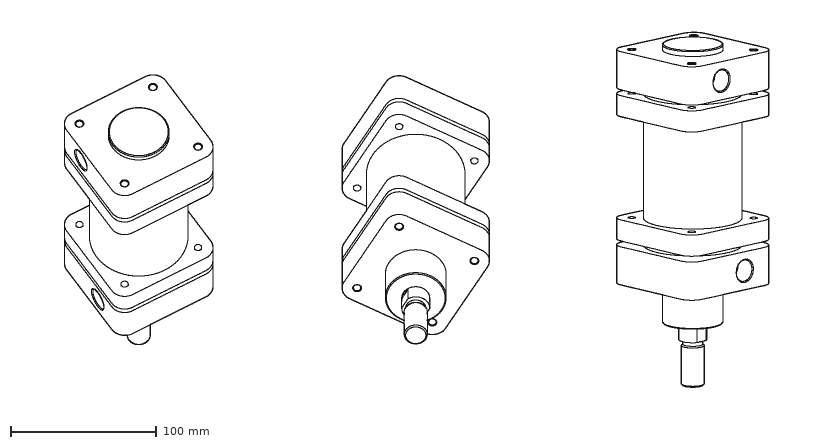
import cadquery as cq

total_height = 241.0
side = 80.0
hole_offset = 29.6
corner_radius = side / 2 - hole_offset

head_height = 27.0
boss_diameter = 42.0
cap_boss_height = 4.0
rod_boss_height = 28.0
boss_chamfer = 0.7
head_hole_diameter = 5.0
head_hole_depth = 19.3
head_hole_chamfer = 0.5

port_offset = 11.0
port_diameter = 15.0
port_chamfer = 0.7
port_depth = 14.5

flange_height = 15.0
flange_gap = 4.0
flange_hole_diameter = 5.0

barrel_diameter = 68.0

rod_diameter = 19.3
shank_length = 12.0
collar_length = 1.0
flat_width = 17.0
neck_diameter = 14.0
neck_length = 3.1
thread_diameter = 16.0
thread_length = 29.0
thread_chamfer = (thread_diameter - neck_diameter) / 2

neck_bottom = thread_length
shank_bottom = neck_bottom + neck_length
rod_boss_bottom = shank_bottom + shank_length
rod_head_bottom = rod_boss_bottom + rod_boss_height
rod_head_top = rod_head_bottom + head_height
cap_head_top = total_height - cap_boss_height
cap_head_bottom = cap_head_top - head_height
rod_flange_bottom = rod_head_top + flange_gap
cap_flange_bottom = cap_head_bottom - flange_gap - flange_height


def cylinder(diameter, bottom, height):
    return cq.Workplane("XY", origin=(0, 0, bottom)).circle(diameter / 2).extrude(height)


def rounded_block(bottom, height):
    block = cq.Workplane("XY", origin=(0, 0, bottom)).rect(side, side).extrude(height)
    return block.edges("|Z").fillet(corner_radius)


def corner_cylinders(diameter, bottom, height):
    spacing = 2 * hole_offset
    corners = cq.Workplane("XY", origin=(0, 0, bottom)).rect(spacing, spacing, forConstruction=True)
    return corners.vertices().circle(diameter / 2).extrude(height)


def port_cutter():
    """Blind port into the -Y face of a head that stands on Z = 0, with a chamfered mouth."""
    center = (-port_offset, -side / 2, head_height / 2)
    bore = cq.Workplane("XZ", origin=center).circle(port_diameter / 2).extrude(-port_depth)
    mouth_radius = port_diameter / 2 + port_chamfer
    mouth = cq.Solid.makeCone(
        mouth_radius, port_diameter / 2, port_chamfer, cq.Vector(*center), cq.Vector(0, 1, 0)
    )
    return bore.union(cq.Workplane(mouth))


def make_head(boss_height):
    """Head with its barrel side on Z = 0 and its boss pointing up."""
    block = rounded_block(0, head_height)
    block = block.cut(corner_cylinders(head_hole_diameter, head_height - head_hole_depth, head_hole_depth))
    hole_rims = cq.selectors.RadiusNthSelector(0)
    block = block.faces(">Z").edges(hole_rims).chamfer(head_hole_chamfer)
    boss = cylinder(boss_diameter, head_height, boss_height).faces(">Z").chamfer(boss_chamfer)
    return block.union(boss).cut(port_cutter())


def make_cap_head():
    return make_head(cap_boss_height).translate((0, 0, cap_head_bottom))


def make_rod_head():
    """Same head turned over, so that its longer boss points down along the rod."""
    turned = make_head(rod_boss_height).rotate((0, 0, 0), (0, 1, 0), 180)
    return turned.translate((0, 0, rod_head_top))


def make_flange(bottom):
    flange = rounded_block(bottom, flange_height).cut(cylinder(barrel_diameter, bottom, flange_height))
    return flange.cut(corner_cylinders(flange_hole_diameter, bottom, flange_height))


def make_barrel():
    return cylinder(barrel_diameter, rod_head_top, cap_head_bottom - rod_head_top)


def make_rod():
    shank = cylinder(rod_diameter, shank_bottom, shank_length)
    flats_length = shank_length - collar_length
    flatted_part = cq.Workplane("XY", origin=(0, 0, shank_bottom)).rect(rod_diameter, flat_width)
    collar = cylinder(rod_diameter, shank_bottom + flats_length, collar_length)
    shank = shank.intersect(flatted_part.extrude(flats_length)).union(collar)
    neck = cylinder(neck_diameter, neck_bottom, neck_length)
    thread = cylinder(thread_diameter, 0, thread_length).faces("<Z or >Z").chamfer(thread_chamfer)
    return shank.union(neck).union(thread)


cap_head = make_cap_head()
rod_head = make_rod_head()
barrel = make_barrel()
rod = make_rod()
flanges = [make_flange(bottom) for bottom in (rod_flange_bottom, cap_flange_bottom)]

result = cq.Compound.makeCompound(
    [cap_head.val(), rod_head.val(), barrel.val(), rod.val(), *[flange.val() for flange in flanges]]
)